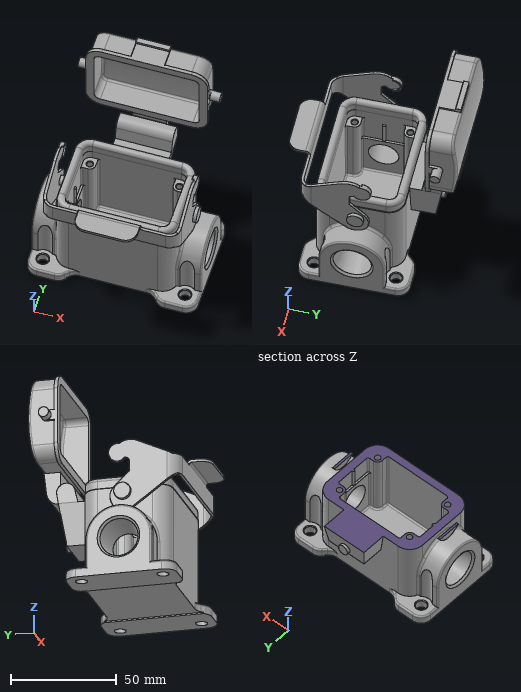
import cadquery as cq
import math

body_length, body_width = 60.2, 43.1
body_corner = 8.1
body_bottom = 0.7
shoulder_height = 47.7
rim_height = 53.6
rim_step = 0.5
rim_wall = 4.0
wall_draft = 0.2
cavity_round = 0.9
ledge_x, ledge_top = 24.4, 28.4

base_length, base_width = 84.0, 54.1
foot_height = 4.7
floor_height = foot_height
foot_corner = 6.0
foot_inner_x = 22.0
foot_slant_x, foot_web_x = 24.6, 15.9
foot_edge_round = 0.9
screw_x, screw_y = 35.1, 19.9
screw_diameter = 5.6
screw_bevel = 0.4
relief_radius = 5.3

entry_height = 18.5
entry_radius = 16.0
entry_edge_round = 0.8
entry_root_round = 1.3
bore_mouth, bore_throat = 18.6, 14.5
bore_bevel = 1.1

post_x, post_y = 22.1, 13.5
post_top = 42.8
post_radius = 3.0
post_hole, post_hole_depth = 2.9, 8.8
post_hole_bevel = 0.3
drill_tip_depth = 0.9
key_top, key_radius, key_tip_x = 40.1, 0.9, 24.6

lever_outer_x = 34.0
lever_thickness = 1.4
lever_bend = 6.0
lever_front_y = -27.6
pivot_height = 43.9
pivot_diameter, pivot_head_diameter = 4.8, 8.0
pivot_head_x = 35.7
hook_y, hook_z, hook_radius = 2.6, 63.9, 4.5
hook_lip, hook_lip_width = 0.9, 0.8
eye_y, eye_z = -0.7, 41.8
bar_top, bar_bottom = 61.0, 51.5
tab_length, tab_bend = 30.5, 2.4
tab_tip_y, tab_top = -37.6, 63.9
tab_corner = 5.8
tab_root_round = 0.8

cover_length, cover_height = 60.2, 43.5
cover_corner = 8.0
cover_z = 86.9
cover_front, cover_back = 32.9, 47.9
cover_lip = 1.8
cover_side_step, cover_top_step = 1.4, 1.0
cover_dome_radius = 85.7
cover_wall = 1.4
cover_edge_round = 1.3
opening_length, opening_height = 51.9, 35.0
opening_corner = 3.1
opening_floor_round = 1.2
cover_pin_y, cover_pin_z = 38.6, 87.3
cover_pin_diameter, cover_pin_x = 5.0, 35.0
strip_width = 16.7
strip_rib_front, strip_rib_back = 42.4, 45.2
part_height = 109.9

hinge_width = 27.9
knuckle_y, knuckle_z, knuckle_radius = 33.3, 53.7, 4.5
bracket_top, bracket_bottom = 48.4, 27.6
bracket_back_top, bracket_back_bottom = 36.9, 33.5
bracket_bottom_width = 22.0
stud_diameter, stud_z = 5.6, 31.4
stud_tip_y = 36.0

rim_length, rim_width = body_length - 2 * rim_step, body_width - rim_step
rim_corner = body_corner - rim_step
mouth_length, mouth_width = rim_length - 2 * rim_wall, rim_width - 2 * rim_wall
mouth_corner = rim_corner - rim_wall

SIDES = (-1, 1)
CORNERS = [(side_x, side_y) for side_x in SIDES for side_y in SIDES]


def rounded_block(length, width, corner, bottom, top):
    """Upright block with rounded vertical edges, centred on the Z axis."""
    block = cq.Workplane("XY").workplane(offset=bottom).rect(length, width).extrude(top - bottom)
    return block.edges("|Z").fillet(corner)


def cylinder_x(diameter, x_start, x_end, y, z):
    """Round bar along X."""
    bar = cq.Workplane("YZ").workplane(offset=x_start).center(y, z).circle(diameter / 2)
    return bar.extrude(x_end - x_start)


def cylinder_z(radius, x, y, bottom, top):
    """Round bar along Z."""
    return cq.Workplane("XY").workplane(offset=bottom).center(x, y).circle(radius).extrude(top - bottom)


def box(x_range, y_range, z_range):
    sizes = [high - low for low, high in (x_range, y_range, z_range)]
    return cq.Workplane("XY").box(*sizes, centered=False).translate((x_range[0], y_range[0], z_range[0]))


def both_sides(shape):
    """The shape together with its mirror image across the YZ plane."""
    return shape.union(shape.mirror("YZ"))


def make_shell():
    """Solid housing topped by a thin wall whose rim is fully rounded."""
    lower = rounded_block(body_length, body_width, body_corner, body_bottom, shoulder_height)
    wall_top = rim_height - rim_wall / 2
    rim = rounded_block(rim_length, rim_width, rim_corner, shoulder_height, wall_top)
    rim = rim.cut(rounded_block(mouth_length, mouth_width, mouth_corner, shoulder_height, wall_top))
    mid_block = rounded_block(rim_length - rim_wall, rim_width - rim_wall, rim_corner - rim_wall / 2,
                              shoulder_height, wall_top)
    path = mid_block.faces(">Z").wires()
    start = path.val().startPoint()
    along = path.val().tangentAt(0)
    bead = cq.Workplane(cq.Plane(start, normal=along)).circle(rim_wall / 2).sweep(path)
    return lower.union(rim).union(bead)


def make_post(side_x, side_y):
    """Square post with rounded edges that fills one corner of the cavity."""
    span = post_radius + body_corner
    shift = (body_corner - post_radius) / 2
    return rounded_block(span, span, post_radius, floor_height, post_top).translate(
        ((post_x + shift) * side_x, (post_y + shift) * side_y, 0))


def make_cavity():
    """Hollow of the housing: drafted walls, four corner posts and a ledge at each end."""
    depth = shoulder_height - floor_height
    cavity = (cq.Workplane("XY").workplane(offset=floor_height)
              .rect(mouth_length - 2 * wall_draft, mouth_width - 2 * wall_draft)
              .workplane(offset=depth).rect(mouth_length, mouth_width).loft())
    cavity = cavity.edges("not(|X or |Y)").fillet(mouth_corner)
    for side_x, side_y in CORNERS:
        cavity = cavity.cut(make_post(side_x, side_y))
    post_face_x, post_face_y = post_x - post_radius, post_y - post_radius
    ledge = box((ledge_x, body_length / 2), (-post_y, post_y), (floor_height, ledge_top))
    cavity = cavity.cut(both_sides(ledge))
    for side_x, side_y in CORNERS:
        points = ((post_face_x, mouth_width / 2, (floor_height + post_top) / 2),
                  (mouth_length / 2, post_face_y, (ledge_top + post_top) / 2),
                  (ledge_x, post_face_y, (floor_height + ledge_top) / 2))
        for x, y, z in points:
            edge = cq.selectors.NearestToPointSelector((x * side_x, y * side_y, z))
            cavity = cavity.edges(edge).fillet(cavity_round)
    return cavity.faces("<Z").edges().fillet(cavity_round)


def make_post_hole(side_x, side_y):
    """Blind screw hole with a bevelled mouth and a drilled tip."""
    bottom = post_top - post_hole_depth
    radius = post_hole / 2
    profile = [(0, post_top), (radius + post_hole_bevel, post_top), (radius, post_top - post_hole_bevel),
               (radius, bottom), (0, bottom - drill_tip_depth)]
    hole = cq.Workplane("XZ").polyline(profile).close().revolve(360, (0, 0), (0, 1))
    return hole.translate((post_x * side_x, post_y * side_y, 0))


def make_key():
    """Small rounded ribs standing on the ledges, one on each end wall."""
    outer_x = body_length / 2 - rim_wall / 2
    tip = cylinder_z(key_radius, key_tip_x + key_radius, 0, ledge_top, key_top)
    web = box((key_tip_x + key_radius, outer_x), (-key_radius, key_radius), (ledge_top, key_top))
    return both_sides(tip.union(web))


def make_feet():
    """Four feet with slanted inner sides that blend into the housing walls."""
    half_length, half_width = base_length / 2, base_width / 2
    wall_y = body_width / 2
    slant_end_x = foot_slant_x - (half_width - wall_y)
    foot = (cq.Workplane("XY")
            .moveTo(half_length, 0).lineTo(half_length, half_width).lineTo(foot_slant_x, half_width)
            .lineTo(slant_end_x, wall_y).lineTo(foot_web_x, wall_y).lineTo(foot_web_x, 0)
            .close().extrude(foot_height))
    for x, y in ((half_length, half_width), (foot_slant_x, half_width), (slant_end_x, wall_y)):
        corner_edge = cq.selectors.NearestToPointSelector((x, y, foot_height / 2))
        foot = foot.edges(corner_edge).fillet(foot_corner)
    pair = foot.union(foot.mirror("XZ"))
    pair = pair.faces(">Z").edges("not(<X)").fillet(foot_edge_round)
    ground = box((-foot_inner_x, foot_inner_x), (-half_width, half_width), (0, body_bottom))
    return both_sides(pair).cut(ground)


def make_entries():
    """Arched cable entry bosses on both end walls, with rounded outer edges."""
    boss = (cq.Workplane("YZ").moveTo(-entry_radius, 0).lineTo(-entry_radius, entry_height)
            .threePointArc((0, entry_height + entry_radius), (entry_radius, entry_height))
            .lineTo(entry_radius, 0).close().extrude(base_length / 2))
    top_edges = boss.faces(">X").edges("not(<Z)")
    boss = top_edges.fillet(entry_edge_round)
    cavity_block = box((0, body_length / 2 - rim_wall / 2), (-entry_radius, entry_radius), (0, rim_height))
    return both_sides(boss.cut(cavity_block))


def make_bore():
    """Tapered bore with a bevelled mouth, revolved about its own axis along X."""
    end = base_length / 2
    inner = ledge_x - cavity_round
    profile = [(inner, 0), (inner, bore_throat / 2), (end - bore_bevel, bore_mouth / 2),
               (end, bore_mouth / 2 + bore_bevel), (end, 0)]
    bore = cq.Workplane("XY").polyline(profile).close().revolve(360, (0, 0), (1, 0))
    return both_sides(bore.translate((0, 0, entry_height)))


def make_screw_cuts():
    """Through holes in the feet and the clearance above them."""
    cuts = cq.Workplane("XY")
    for side_x, side_y in CORNERS:
        x, y = screw_x * side_x, screw_y * side_y
        cuts = cuts.add(cylinder_z(relief_radius, x, y, foot_height, entry_height + entry_radius))
        cuts = cuts.add(cylinder_z(screw_diameter / 2, x, y, 0, foot_height))
        bevel = (cq.Workplane("XY").workplane(offset=foot_height).center(x, y)
                 .circle(screw_diameter / 2 + screw_bevel).extrude(-screw_bevel, taper=45))
        cuts = cuts.add(bevel)
    return cuts.combine()


def lever_profile():
    """Side outline of the lever in the YZ plane, without the hook disc."""
    return (cq.Workplane("YZ")
            .moveTo(eye_y - 4.1, eye_z - 5.8)
            .lineTo(lever_front_y + lever_thickness, bar_bottom).lineTo(lever_front_y, bar_bottom)
            .lineTo(lever_front_y, bar_top)
            .lineTo(-24.4, bar_top).lineTo(-21.7, 62.3)
            .lineTo(-7.0, 69.0).threePointArc((-3.5, 69.8), (0.3, 69.1))
            .lineTo(hook_y, hook_z + hook_radius - 0.7).lineTo(hook_y, 60.9)
            .lineTo(-0.2, 60.8).threePointArc((-2.1, 60.7), (-3.1, 59.0))
            .lineTo(-3.1, 54.1).lineTo(eye_y + 5.1, eye_z + 5.0)
            .threePointArc((eye_y + 5.9, eye_z - 3.7), (eye_y - 4.1, eye_z - 5.8)).close())


def make_lever():
    """Bent strap with two hooked arms, pivot pins and a finger tab."""
    outline = lever_profile().extrude(lever_outer_x, both=True)
    outline = outline.union(cylinder_x(2 * hook_radius, -lever_outer_x, lever_outer_x, hook_y, hook_z))
    back_y = hook_y + 2 * hook_radius
    strap = box((-lever_outer_x, lever_outer_x), (lever_front_y, back_y), (0, part_height))
    strap = strap.edges("|Z and <Y").fillet(lever_bend)
    inner_x = lever_outer_x - lever_thickness
    hollow = box((-inner_x, inner_x), (lever_front_y + lever_thickness, back_y), (0, part_height))
    strap = strap.cut(hollow.edges("|Z and <Y").fillet(lever_bend - lever_thickness))
    lip = cylinder_x(2 * hook_radius, inner_x - hook_lip, inner_x, hook_y, hook_z)
    lip = lip.cut(cylinder_x(2 * (hook_radius - hook_lip_width), inner_x - hook_lip, inner_x, hook_y, hook_z))
    lip = lip.intersect(box((0, lever_outer_x), (hook_y, back_y), (0, part_height)))
    pin = cylinder_x(pivot_diameter, body_length / 2 - rim_wall / 2, lever_outer_x, 0, pivot_height)
    head = cylinder_x(pivot_head_diameter, lever_outer_x - lever_thickness / 2, pivot_head_x, 0, pivot_height)
    lever = outline.intersect(strap).union(both_sides(lip.union(pin).union(head)))
    return lever.union(make_tab()).union(make_tab_gussets())


def make_tab():
    """Finger tab bent outwards from the lever crossbar."""
    inner_y = lever_front_y + lever_thickness
    bend_y, bend_z = inner_y - tab_bend, tab_top - tab_bend
    inner_bend = tab_bend - lever_thickness
    diagonal = math.sqrt(0.5)
    tab = (cq.Workplane("YZ")
           .moveTo(inner_y, bar_bottom + tab_bend).lineTo(inner_y, bend_z)
           .threePointArc((bend_y + tab_bend * diagonal, bend_z + tab_bend * diagonal), (bend_y, tab_top))
           .lineTo(tab_tip_y, tab_top).lineTo(tab_tip_y, tab_top - lever_thickness)
           .lineTo(bend_y, tab_top - lever_thickness)
           .threePointArc((bend_y + inner_bend * diagonal, bend_z + inner_bend * diagonal), (lever_front_y, bend_z))
           .lineTo(lever_front_y, bar_bottom + tab_bend).close()
           .extrude(tab_length / 2, both=True))
    return tab.edges("|Z and <Y").fillet(tab_corner)


def make_tab_gussets():
    """Small concave fillets where the sides of the tab meet the crossbar."""
    corner_x, thickness_end = tab_length / 2, lever_front_y + lever_thickness
    gusset = box((corner_x, corner_x + tab_root_round), (lever_front_y, thickness_end),
                 (bar_top, bar_top + tab_root_round))
    hollow = (cq.Workplane("XZ").workplane(offset=-thickness_end)
              .center(corner_x + tab_root_round, bar_top + tab_root_round)
              .circle(tab_root_round).extrude(lever_thickness))
    return both_sides(gusset.cut(hollow))


def cover_block(length, height, corner, front, back):
    """Block standing on edge with its rounded corners seen along Y."""
    block = cq.Workplane("XY").box(length, back - front, height).edges("|Y").fillet(corner)
    return block.translate((0, (front + back) / 2, cover_z))


def dome(radius, length):
    """Long cylinder along X whose far side bounds the back of the cover."""
    return cylinder_x(2 * radius, -length / 2, length / 2, cover_back - cover_dome_radius, cover_pin_z)


def make_cover():
    """Domed cover with a front lip, a top strip, side pins and a hollow front."""
    lip = cover_block(cover_length, cover_height, cover_corner, cover_front, cover_front + cover_lip)
    shell = cover_block(cover_length - 2 * cover_side_step, cover_height - 2 * cover_top_step,
                        cover_corner - cover_top_step, cover_front, cover_back)
    shell = shell.intersect(dome(cover_dome_radius, base_length))
    shell = shell.edges(cq.selectors.BoxSelector(
        (-base_length, cover_back - 4.4, 0), (base_length, cover_back + 1.1, part_height))).fillet(cover_edge_round)

    top = cover_z + cover_height / 2
    half_strip = strip_width / 2
    strip = box((-half_strip, half_strip), (cover_front, strip_rib_back), (cover_z, top))
    strip = strip.union(box((-half_strip, half_strip), (strip_rib_front, strip_rib_back), (cover_z, part_height)))

    pin = cylinder_x(cover_pin_diameter, cover_length / 4, cover_pin_x, cover_pin_y, cover_pin_z)
    half_pin = cover_pin_diameter / 2
    pad = box((cover_length / 4, cover_length / 2), (cover_front, cover_pin_y),
              (cover_pin_z - half_pin, cover_pin_z + half_pin))

    opening = cover_block(opening_length, opening_height, opening_corner, cover_front, cover_back)
    opening = opening.intersect(dome(cover_dome_radius - cover_wall, base_length))
    opening = opening.edges(cq.selectors.BoxSelector(
        (-base_length, cover_back - 6.6, 0), (base_length, cover_back, part_height))).fillet(opening_floor_round)
    return lip.union(shell).union(strip).union(both_sides(pin.union(pad))).cut(opening)


def make_neck():
    """Arm reaching down from the cover into the knuckle."""
    half = strip_width / 2
    inner_y = 37.5
    neck = (cq.Workplane("YZ").workplane(offset=-half)
            .moveTo(inner_y, 67.0).lineTo(45.6, 67.0).lineTo(44.3, 55.5)
            .threePointArc((42.5, 52.1), (38.9, 50.2)).lineTo(knuckle_y + 2.2, 50.2)
            .lineTo(knuckle_y + 2.2, knuckle_z + 2.2).lineTo(inner_y, knuckle_z + 2.2).close().extrude(strip_width))
    return neck


def make_bracket():
    """Knuckle carried on a block that projects from the back wall and narrows downwards."""
    wall_y = body_width / 2 - rim_wall / 2
    block = (cq.Workplane("YZ")
             .moveTo(wall_y, bracket_bottom).lineTo(bracket_back_bottom, bracket_bottom)
             .lineTo(bracket_back_top, bracket_top).lineTo(wall_y, bracket_top).close()
             .extrude(hinge_width / 2, both=True))
    sides = (cq.Workplane("XZ")
             .moveTo(-bracket_bottom_width / 2, bracket_bottom).lineTo(bracket_bottom_width / 2, bracket_bottom)
             .lineTo(hinge_width / 2, bracket_top).lineTo(-hinge_width / 2, bracket_top).close()
             .extrude(-part_height))

    foot_y = 27.4
    to_foot_y, to_foot_z = foot_y - knuckle_y, bracket_top - knuckle_z
    tangent = math.atan2(to_foot_z, to_foot_y) - math.acos(knuckle_radius / math.hypot(to_foot_y, to_foot_z))
    knuckle = (cq.Workplane("YZ")
               .moveTo(foot_y, bracket_top).lineTo(bracket_back_top, bracket_top)
               .lineTo(knuckle_y + knuckle_radius, knuckle_z)
               .threePointArc((knuckle_y, knuckle_z + knuckle_radius),
                              (knuckle_y + knuckle_radius * math.cos(tangent),
                               knuckle_z + knuckle_radius * math.sin(tangent)))
               .close().extrude(hinge_width / 2, both=True))
    stud = (cq.Workplane("XZ").workplane(offset=-stud_tip_y).center(0, stud_z)
            .circle(stud_diameter / 2).extrude(stud_tip_y - knuckle_y + 2.2))
    return block.intersect(sides).union(knuckle).union(stud)


def make_housing():
    """Housing with feet, cable entries, cavity, keys and all holes."""
    housing = make_shell().union(make_entries())
    for side_x in SIDES:
        wall = body_length / 2 * side_x
        root = cq.selectors.BoxSelector((wall - 1.1, -body_width / 2, foot_height),
                                        (wall + 1.1, body_width / 2, shoulder_height - 1.1))
        housing = housing.edges(root).fillet(entry_root_round)
    housing = housing.union(make_feet()).cut(make_cavity()).union(make_key())
    for side_x, side_y in CORNERS:
        housing = housing.cut(make_post_hole(side_x, side_y))
    return housing.cut(make_screw_cuts()).cut(make_bore())


result = make_housing().union(make_bracket()).union(make_neck()).union(make_cover()).union(make_lever())